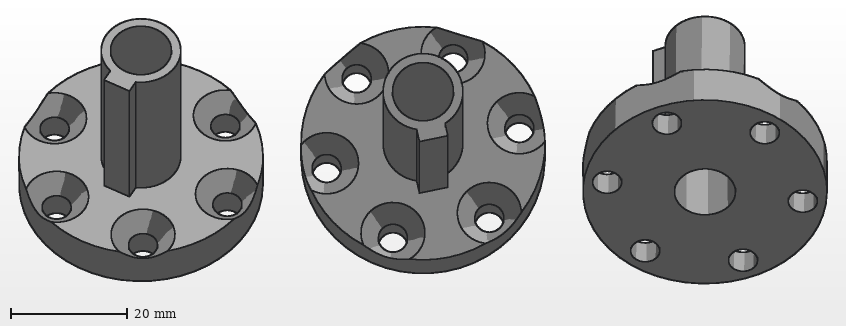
import cadquery as cq

flange_diameter = 42
flange_thickness = 8

total_height = 38.0
shaft_diameter = 13.75
bore_diameter = 10.5
key_width = 5.0
key_reach = 8.65

hole_count = 6
hole_circle_radius = 16.95
hole_diameter = 5.0
countersink_diameter = 11.0
countersink_angle = 90

shaft_length = total_height - flange_thickness


def make_flange():
    """Disc with countersunk holes whose cones break out through the rim."""
    disc = cq.Workplane("XY").circle(flange_diameter / 2).extrude(flange_thickness)
    return (
        disc.faces(">Z")
        .workplane()
        .polarArray(hole_circle_radius, 0, 360, hole_count)
        .cskHole(hole_diameter, countersink_diameter, countersink_angle)
    )


def make_keyed_shaft():
    """Round shaft and its key, rising from the top of the flange."""
    base = cq.Workplane("XY").workplane(offset=flange_thickness)
    shaft = base.circle(shaft_diameter / 2).extrude(shaft_length)
    key = base.center(0, -key_reach / 2).rect(key_width, key_reach).extrude(shaft_length)
    return shaft.union(key)


bore = cq.Workplane("XY").circle(bore_diameter / 2).extrude(total_height)

result = make_flange().union(make_keyed_shaft()).cut(bore)